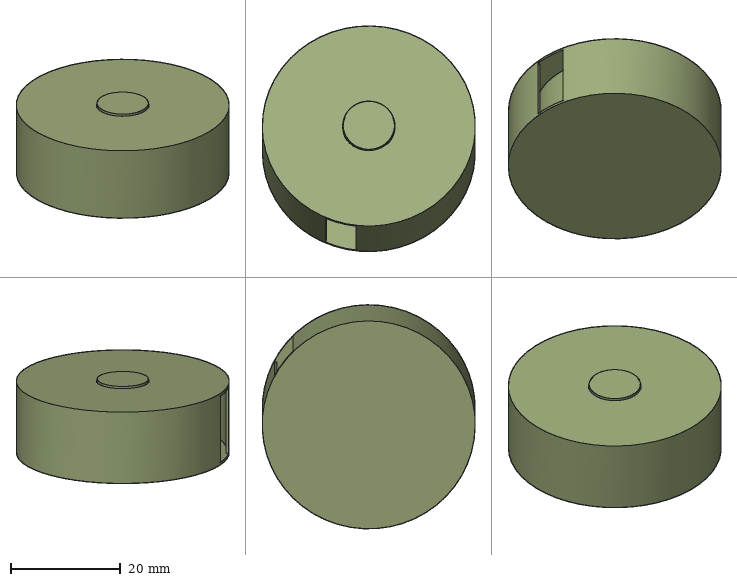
import cadquery as cq

housing_diameter = 38.75
housing_height = 13.6
wall_thickness = 0.5
window_width = 5.75

core_diameter = 29.7

button_diameter = 9.35
button_hole_diameter = 9.55
overall_height = 14.0

cavity_diameter = housing_diameter - 2 * wall_thickness
cavity_height = housing_height - 2 * wall_thickness
ceiling_height = wall_thickness + cavity_height
button_height = overall_height - ceiling_height


def disc(diameter, height, base_height):
    """Upright cylinder on the Z axis, with its lower face at base_height."""
    return cq.Workplane("XY").workplane(offset=base_height).circle(diameter / 2).extrude(height)


def make_housing():
    shell = disc(housing_diameter, housing_height, 0)
    cavity = disc(cavity_diameter, cavity_height, wall_thickness)
    button_hole = disc(button_hole_diameter, wall_thickness, ceiling_height)
    window = (
        cq.Workplane("XY")
        .workplane(offset=wall_thickness)
        .center(-housing_diameter / 4, 0)
        .rect(housing_diameter / 2, window_width)
        .extrude(cavity_height)
    )
    return shell.cut(cavity).cut(button_hole).cut(window)


def make_core():
    return disc(core_diameter, cavity_height, wall_thickness)


def make_button():
    return disc(button_diameter, button_height, ceiling_height)


housing = make_housing()
core = make_core()
button = make_button()

result = cq.Compound.makeCompound([housing.val(), core.val(), button.val()])